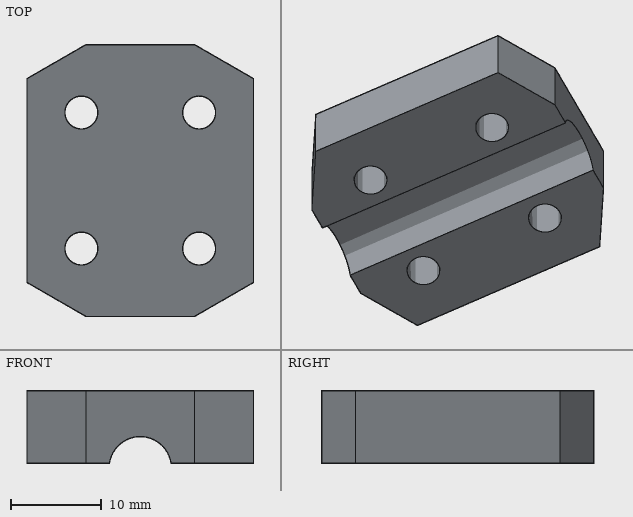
import cadquery as cq

length = 30.0
width = 25.0
height = 8.0

corner_cut_x = 6.5
corner_cut_y = 3.75

hole_diameter = 3.6
hole_spacing_x = 13.0
hole_spacing_y = 15.0

channel_radius = 3.42
channel_depth = 2.95


def make_block():
    half_width = width / 2
    half_length = length / 2
    flat_x = half_width - corner_cut_x
    flat_y = half_length - corner_cut_y
    outline = [
        (flat_x, half_length),
        (half_width, flat_y),
        (half_width, -flat_y),
        (flat_x, -half_length),
        (-flat_x, -half_length),
        (-half_width, -flat_y),
        (-half_width, flat_y),
        (-flat_x, half_length),
    ]
    return cq.Workplane("XY").polyline(outline).close().extrude(height)


def make_holes():
    return (
        cq.Workplane("XY")
        .rarray(hole_spacing_x, hole_spacing_y, 2, 2)
        .circle(hole_diameter / 2)
        .extrude(height)
    )


def make_channel():
    axis_z = channel_depth - channel_radius
    return (
        cq.Workplane("XZ")
        .center(0, axis_z)
        .circle(channel_radius)
        .extrude(length / 2, both=True)
    )


result = make_block().cut(make_holes()).cut(make_channel())